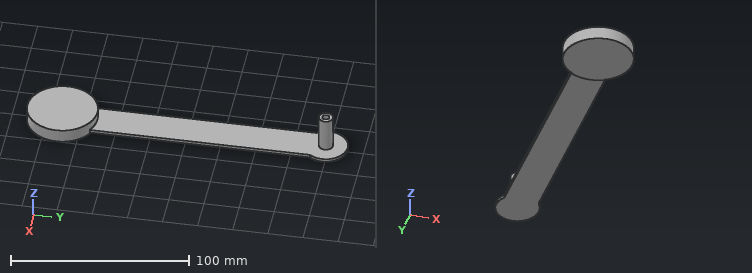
import cadquery as cq

overall_length = 182.5
overall_height = 23.0

disc_diameter = 40.0
disc_thickness = 8.0

arm_width = 20.0
arm_thickness = 2.0
arm_bottom = 1.0
arm_top = arm_bottom + arm_thickness
pad_diameter = 25.0
pad_y = overall_length - disc_diameter / 2 - pad_diameter / 2

peg_diameter = 8.0
peg_bore_diameter = 4.0
peg_height = overall_height - arm_top


def cylinder(diameter, height, y, bottom):
    """Vertical cylinder on the part's centre plane."""
    return cq.Workplane("XY", origin=(0, y, bottom)).circle(diameter / 2).extrude(height)


disc = cylinder(disc_diameter, disc_thickness, 0, 0)

arm = (
    cq.Workplane("XY", origin=(0, pad_y / 2, arm_bottom))
    .rect(arm_width, pad_y)
    .extrude(arm_thickness)
)
pad = cylinder(pad_diameter, arm_thickness, pad_y, arm_bottom)

peg = cylinder(peg_diameter, peg_height, pad_y, arm_top)

peg_bore = cylinder(peg_bore_diameter, peg_height, pad_y, arm_top)

result = disc.union(arm).union(pad).union(peg).cut(peg_bore)